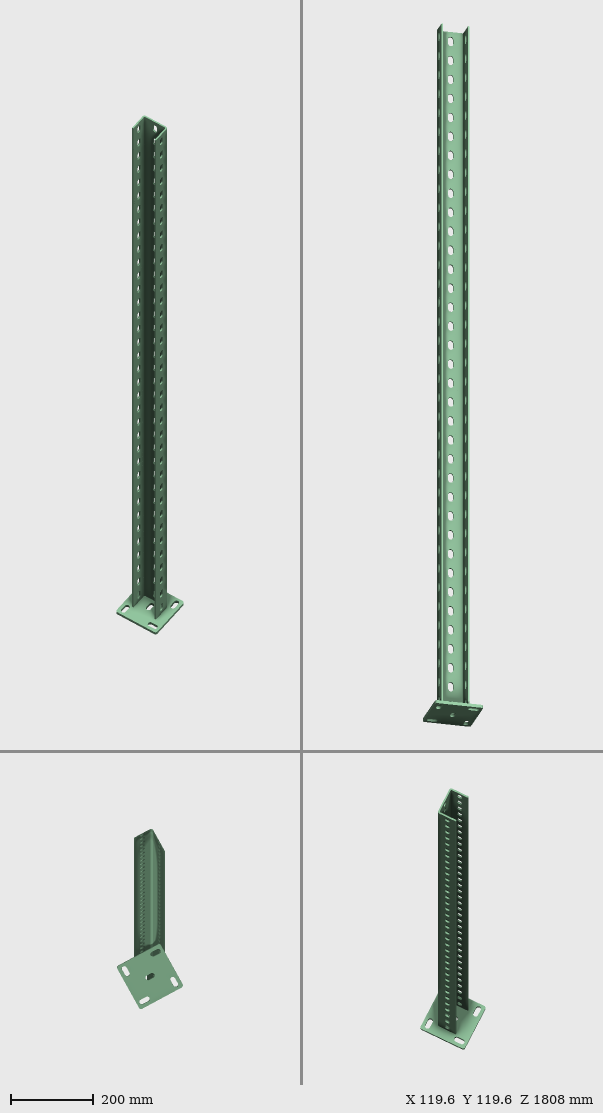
import cadquery as cq

height = 1808.0

slot_count = 36
slot_width = 13.0
slot_straight = 12.0
slot_length = slot_straight + slot_width

wall = 4.0
bend_radius = 6.0
post_width = 70.0
flange_slot_margin = 16.6
flange_inner_depth = slot_width + 2 * flange_slot_margin
post_depth = wall + flange_inner_depth

plate_thickness = 8.0
plate_corner_radius = 5.0
plate_slot_length = 27.0
plate_slot_width = 13.0
plate_slot_near = 40.0
plate_slot_far = 45.0
plate_edge_distance = 14.8
plate_side = 2 * (plate_slot_far + plate_edge_distance)

post_length = height - plate_thickness
slot_pitch = post_length / slot_count
flange_slot_y = -wall / 2


def make_plate():
    """Plate with a slot under the post and four corner slots set a quarter turn apart."""
    plate = (
        cq.Workplane("XY")
        .box(plate_side, plate_side, plate_thickness, centered=(True, True, False))
        .edges("|Z")
        .fillet(plate_corner_radius)
    )
    middle_slot = cq.Workplane("XY").slot2D(slot_length, slot_width, 90).extrude(plate_thickness)
    plate = plate.cut(middle_slot)
    corner_slot = (
        cq.Workplane("XY")
        .center(-plate_slot_near, plate_slot_far)
        .slot2D(plate_slot_length, plate_slot_width)
        .extrude(plate_thickness)
    )
    for quarter in range(4):
        plate = plate.cut(corner_slot.rotate((0, 0, 0), (0, 0, 1), 90 * quarter))
    return plate


def rounded_bar(width, center_y, radius):
    """Bar as long as the post, with its two +Y corners rounded."""
    return (
        cq.Workplane("XY", origin=(0, center_y, plate_thickness))
        .rect(width, post_depth)
        .extrude(post_length)
        .edges("|Z and >Y")
        .fillet(radius)
    )


def make_slot_row(plane, offset, reach):
    """Column of upright slots, reaching equally to both sides of the plane."""
    first_height = plate_thickness + slot_pitch / 2
    centers = [(offset, first_height + i * slot_pitch) for i in range(slot_count)]
    return (
        cq.Workplane(plane)
        .pushPoints(centers)
        .slot2D(slot_length, slot_width, 90)
        .extrude(reach, both=True)
    )


def make_post():
    """Bent channel with slots through its web and both flanges."""
    outer = rounded_bar(post_width, 0, bend_radius)
    inner = rounded_bar(post_width - 2 * wall, -wall, bend_radius - wall)
    web_slots = make_slot_row("XZ", 0, post_depth)
    flange_slots = make_slot_row("YZ", flange_slot_y, post_width)
    return outer.cut(inner).cut(web_slots).cut(flange_slots)


result = make_plate().union(make_post())